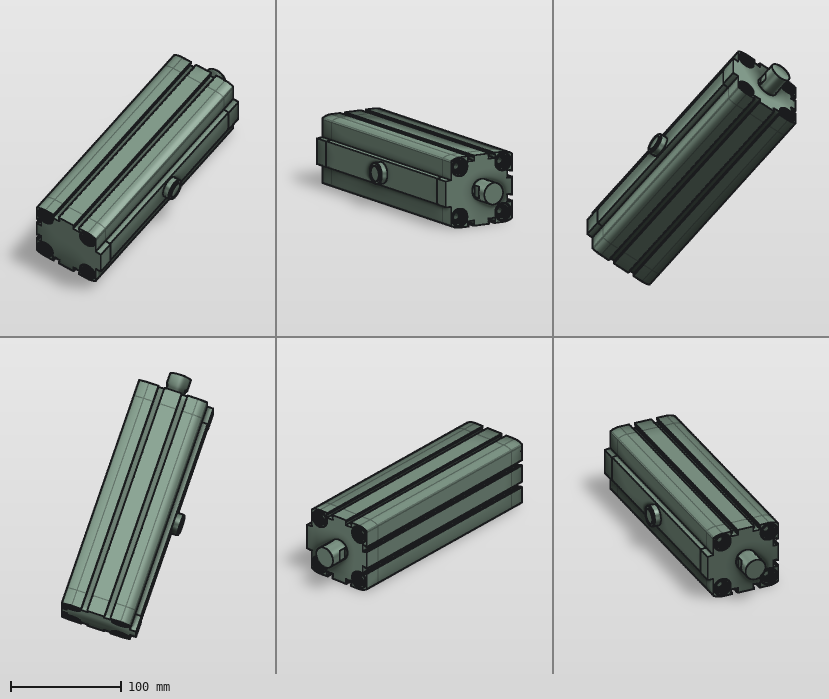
import cadquery as cq
import math

overall_length = 238.7
overall_width = 78.3
housing_width = 65.5
rod_protrusion = 20.5
housing_length = overall_length - rod_protrusion
half_width = housing_width / 2
cap_length = 15.3

corner_radius = 16.5
corner_reach = 9.3
corner_blend_radius = 1.5
corner_drop = corner_radius - math.sqrt(corner_radius**2 - corner_reach**2)

slot_offset = 11.1
slot_mouth_width = 5.5
slot_inner_width = 7.0
slot_lip = 1.7
slot_depth = 5.0
slot_face_angles = [0, 180, -90]

rail_base_width = 25.0
rail_top_width = 23.9
cap_rail_height = 5.7
barrel_rail_height = 5.3

bolt_pitch = 46.5
bolt_hole_diameter = 6.7
bolt_steps = [(16.5, 1.0), (15.5, 2.0), (12.0, 3.3), (10.5, 5.3), (8.4, 7.2)]

rod_diameter = 20.0
rod_across_flats = 17.0
flat_length = 7.5
flat_gap = 2.0

connector_diameter = 19.8
connector_y = 108.8
connector_length = overall_width - housing_width - barrel_rail_height
connector_chamfer_length = 1.0
connector_chamfer_depth = 0.5
connector_tip_diameter = 14.3
connector_tip_length = 0.7


def extrude_along_y(outline, start, length):
    """Extrude an outline on the XZ plane towards +Y, beginning at y = start."""
    return outline.extrude(-length).translate((0, start, 0))


def make_block(start, length):
    """Housing section without its rail."""
    arc_x = half_width - corner_reach
    arc_z = half_width - corner_drop
    outline = (
        cq.Workplane("XZ")
        .moveTo(-arc_x, half_width)
        .lineTo(arc_x, half_width)
        .radiusArc((half_width, arc_z), corner_radius)
        .lineTo(half_width, -arc_z)
        .radiusArc((arc_x, -half_width), corner_radius)
        .lineTo(-arc_x, -half_width)
        .radiusArc((-half_width, -arc_z), corner_radius)
        .lineTo(-half_width, arc_z)
        .radiusArc((-arc_x, half_width), corner_radius)
        .close()
    )
    block = extrude_along_y(outline, start, length)
    for x in (-half_width, half_width):
        for z in (-arc_z, arc_z):
            corner = cq.selectors.NearestToPointSelector((x, start + length / 2, z))
            block = block.edges(corner).fillet(corner_blend_radius)
    return block


def make_rail(height, start, length):
    """Tapered rail, reaching into the block so that the two fuse."""
    outline = (
        cq.Workplane("XZ")
        .moveTo(0, rail_base_width / 2)
        .lineTo(half_width, rail_base_width / 2)
        .lineTo(half_width + height, rail_top_width / 2)
        .lineTo(half_width + height, -rail_top_width / 2)
        .lineTo(half_width, -rail_base_width / 2)
        .lineTo(0, -rail_base_width / 2)
        .close()
    )
    return extrude_along_y(outline, start, length)


def make_section(rail_height, start, length):
    return make_block(start, length).union(make_rail(rail_height, start, length))


def make_slot(offset, angle):
    """Cutter for one slot of the top face, turned about Y to the face it belongs to."""
    outline = (
        cq.Workplane("XZ")
        .center(offset, half_width)
        .moveTo(-slot_mouth_width / 2, 0)
        .lineTo(-slot_mouth_width / 2, -slot_lip)
        .lineTo(-slot_inner_width / 2, -slot_lip)
        .lineTo(-slot_inner_width / 2, -slot_depth)
        .lineTo(slot_inner_width / 2, -slot_depth)
        .lineTo(slot_inner_width / 2, -slot_lip)
        .lineTo(slot_mouth_width / 2, -slot_lip)
        .lineTo(slot_mouth_width / 2, 0)
        .close()
    )
    return extrude_along_y(outline, 0, housing_length).rotate((0, 0, 0), (0, 1, 0), angle)


def make_bolt_cutters(diameter, start, length):
    """Four cylinders on the corner hole centres."""
    centres = cq.Workplane("XZ").rect(bolt_pitch, bolt_pitch, forConstruction=True).vertices()
    return extrude_along_y(centres.circle(diameter / 2), start, length)


def make_housing():
    rear_start = housing_length - cap_length
    housing = make_section(barrel_rail_height, cap_length, housing_length - 2 * cap_length)
    for cap_start in (0, rear_start):
        housing = housing.union(make_section(cap_rail_height, cap_start, cap_length), clean=False)

    for angle in slot_face_angles:
        for offset in (-slot_offset, slot_offset):
            housing = housing.cut(make_slot(offset, angle), clean=False)

    housing = housing.cut(make_bolt_cutters(bolt_hole_diameter, 0, housing_length), clean=False)
    for diameter, depth in bolt_steps:
        for start in (0, housing_length - depth):
            housing = housing.cut(make_bolt_cutters(diameter, start, depth), clean=False)
    return housing


def make_rod():
    radius = rod_diameter / 2
    flat_x = rod_across_flats / 2
    run_out = radius - flat_x
    flat_start = housing_length + flat_gap
    flat_end = flat_start + flat_length
    rod = extrude_along_y(cq.Workplane("XZ").circle(radius), housing_length, rod_protrusion)
    for side in (-1, 1):
        flat_cutter = (
            cq.Workplane("XY")
            .moveTo(side * flat_x, flat_start)
            .lineTo(side * flat_x, flat_end)
            .lineTo(side * radius, flat_end + run_out)
            .lineTo(side * radius, flat_start - run_out)
            .close()
            .extrude(radius, both=True)
        )
        rod = rod.cut(flat_cutter)
    return rod


def make_connector():
    return (
        cq.Workplane("YZ", origin=(half_width + barrel_rail_height, connector_y, 0))
        .circle(connector_diameter / 2)
        .extrude(connector_length - connector_tip_length)
        .faces(">X")
        .edges()
        .chamfer(connector_chamfer_length, connector_chamfer_depth)
        .faces(">X")
        .workplane()
        .circle(connector_tip_diameter / 2)
        .extrude(connector_tip_length)
    )


housing = make_housing().solids().val()
rod = make_rod().solids().val()
connector = make_connector().solids().val()

result = cq.Compound.makeCompound([housing, rod, connector])